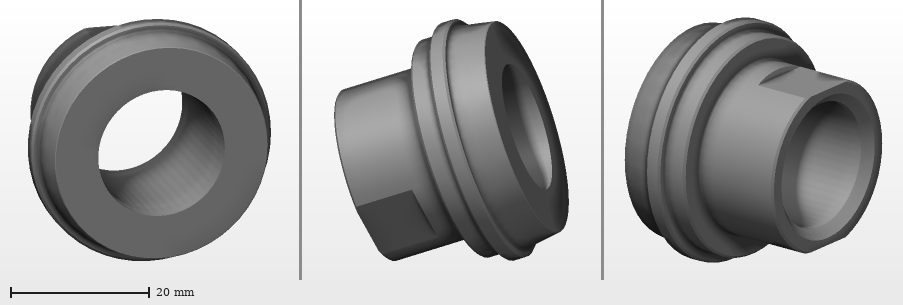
import cadquery as cq
import math

total_length = 25.0
shoulder_start = 13.5
collar_start = 17.0
collar_end = 19.5

bore_radius = 19.0 / 2
bore_mouth_radius = 10.9
sleeve_radius = 26.0 / 2
shoulder_radius = 33.0 / 2
collar_radius = 36 / 2
cone_large_radius = 16.9
cone_small_radius = 16.0

edge_chamfer = 0.32
corner_fillet = 0.4
cone_end_chamfer = 0.1

flat_width = 24.0
flat_length = 9.0
flat_end_angle = 15

tolerance = 0.005

outer_edges = [
    (shoulder_start, shoulder_radius),
    (collar_start, collar_radius),
    (collar_end, collar_radius),
]
inner_corners = [
    (shoulder_start, sleeve_radius),
    (collar_start, shoulder_radius),
    (collar_end, cone_large_radius),
]

def find_ring(body, position, radius):
    """Select the circular edge found at this position along X and this radius."""
    return body.edges("%CIRCLE").filter(
        lambda edge: math.isclose(edge.Center().x, position, abs_tol=tolerance)
        and math.isclose(edge.radius(), radius, abs_tol=tolerance)
    )

def make_body():
    """Turned body: sleeve, shoulder, collar and tapered end."""
    profile = (
        cq.Workplane("XY")
        .moveTo(0, 0)
        .lineTo(0, sleeve_radius)
        .lineTo(shoulder_start, sleeve_radius)
        .lineTo(shoulder_start, shoulder_radius)
        .lineTo(collar_start, shoulder_radius)
        .lineTo(collar_start, collar_radius)
        .lineTo(collar_end, collar_radius)
        .lineTo(collar_end, cone_large_radius)
        .lineTo(total_length, cone_small_radius)
        .lineTo(total_length, 0)
        .close()
    )
    body = profile.revolve(360, (0, 0, 0), (1, 0, 0))
    body = body.faces("<X").edges().chamfer(edge_chamfer)
    body = body.faces(">X").edges().chamfer(cone_end_chamfer)
    for position, radius in outer_edges:
        body = find_ring(body, position, radius).chamfer(edge_chamfer)
    for position, radius in inner_corners:
        body = find_ring(body, position, radius).fillet(corner_fillet)
    return body

def make_bore():
    """Through bore with a 45 degree countersunk mouth at the sleeve end."""
    mouth_depth = bore_mouth_radius - bore_radius
    return (
        cq.Workplane("XY")
        .moveTo(0, 0)
        .lineTo(0, bore_mouth_radius)
        .lineTo(mouth_depth, bore_radius)
        .lineTo(total_length, bore_radius)
        .lineTo(total_length, 0)
        .close()
        .revolve(360, (0, 0, 0), (1, 0, 0))
    )

def make_flat_cutter():
    """Material above the upper wrench flat, ending in a sloped wall."""
    flat_height = flat_width / 2
    cutter_top = shoulder_radius
    slope_run = (cutter_top - flat_height) * math.tan(math.radians(flat_end_angle))
    return (
        cq.Workplane("XZ")
        .moveTo(0, flat_height)
        .lineTo(flat_length, flat_height)
        .lineTo(flat_length + slope_run, cutter_top)
        .lineTo(0, cutter_top)
        .close()
        .extrude(sleeve_radius, both=True)
    )

upper_flat = make_flat_cutter()
lower_flat = upper_flat.mirror("XY")
result = make_body().cut(make_bore()).cut(upper_flat).cut(lower_flat)